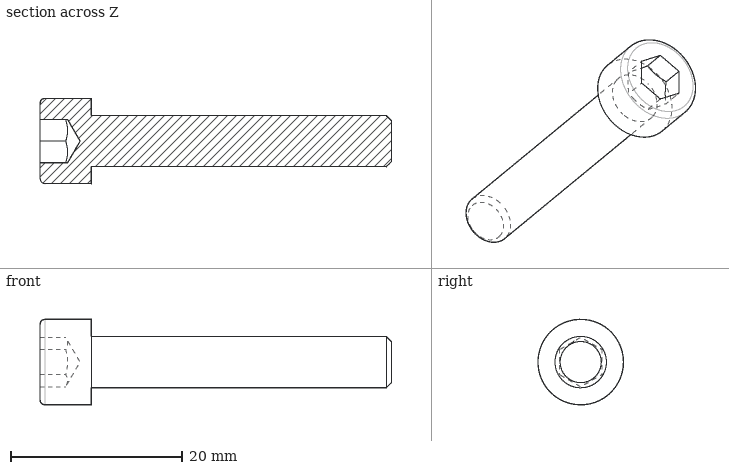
import cadquery as cq
import math

head_diameter = 10.0
head_length = 6.0
head_edge_radius = 0.6
shank_diameter = 6.0
shank_length = 35.0
tip_chamfer = 0.6

socket_sides = 6
socket_across_flats = 5.0
socket_depth = 3.0
socket_cone_half_angle = 60.0

socket_across_corners = socket_across_flats / math.cos(math.pi / socket_sides)
socket_cone_radius = socket_across_corners / 2
socket_cone_depth = socket_cone_radius / math.tan(math.radians(socket_cone_half_angle))


def make_head():
    """Cylindrical head with its outer rim rounded."""
    head = cq.Workplane("YZ").circle(head_diameter / 2).extrude(head_length)
    return head.faces("<X").edges().fillet(head_edge_radius)


def make_shank():
    """Plain shank with a chamfered tip."""
    bearing_face = cq.Workplane("YZ", origin=(head_length, 0, 0))
    shank = bearing_face.circle(shank_diameter / 2).extrude(shank_length)
    return shank.faces(">X").edges().chamfer(tip_chamfer)


def make_socket():
    """Hexagonal socket with corners on the Z axis and a conical bottom."""
    hex_length = socket_depth + socket_cone_depth
    hexagon = (
        cq.Workplane("YZ")
        .transformed(rotate=(0, 0, 90))
        .polygon(socket_sides, socket_across_corners)
        .extrude(hex_length)
    )
    envelope = (
        cq.Workplane("XY")
        .polyline([
            (0, 0),
            (0, socket_cone_radius),
            (socket_depth, socket_cone_radius),
            (hex_length, 0),
        ])
        .close()
        .revolve(360, (0, 0, 0), (1, 0, 0))
    )
    return hexagon.intersect(envelope)


result = make_head().union(make_shank()).cut(make_socket())